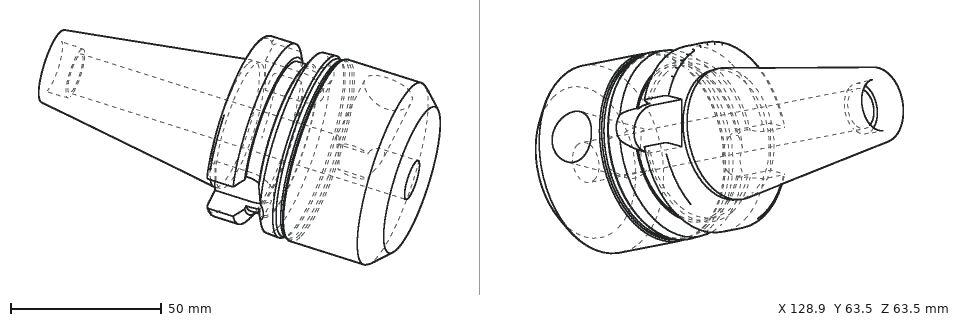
import cadquery as cq

LENGTH = 128.9

TAPER_END_X = 65.4
GAUGE_RADIUS = 22.2
TAPER_SLOPE = 7 / 48
SHANK_END_RADIUS = GAUGE_RADIUS - TAPER_END_X * TAPER_SLOPE
SHANK_ROUND = 0.8
RELIEF_RADIUS = 44.0 / 2
RELIEF_STEP = 0.8

FLANGE_X = 67.3
FLANGE_END_X = 77.0
FLANGE_RADIUS = 63.0 / 2
FLANGE_ROUND = 1.0
GROOVE_RADIUS = 52.2 / 2
GROOVE_START_X = 79.4
GROOVE_END_X = 84.3
GROOVE_FRONT_LIP_RADIUS = 27.5
GROOVE_REAR_LIP_RADIUS = 26.8

COLLAR_X = 87.0
COLLAR_RADIUS = FLANGE_RADIUS
BODY_RADIUS = 63.5 / 2
COLLAR_END_X = 91.6
RING_START_X = 92.5
RING_END_X = 94.2
RING_RADIUS = 62.0 / 2
BODY_X = 95.5
BODY_EDGE = 0.5
NOSE_ROUND_X = 122.0
NOSE_X = 122.7
NOSE_SHOULDER_RADIUS = 31.3
NOSE_RADIUS = 26.0
NOSE_EDGE = 0.5

BORE_RADIUS = 13.5 / 2
PILOT_RADIUS = 8.6
THREAD_RADIUS = 8.5
MOUTH_ROUND = 0.8
PILOT_DEPTH = 6.5
PILOT_STEP = 0.6
THREAD_DEPTH = 8.2

SLOT_WIDTH = 16.1
SLOT_END_X = 88.3
SLOT_FLOOR_Y = 22.5

SCREW_DIAMETER = 17.3
SCREW_X = 107.6


def revolve_about_x(points):
    """Revolve a closed (x, radius) outline about the X axis."""
    return cq.Workplane("XY").polyline(points).close().revolve(360, (0, 0, 0), (1, 0, 0))


def holder_body():
    return revolve_about_x([
        (0, 0),
        (0, SHANK_END_RADIUS),
        (TAPER_END_X, GAUGE_RADIUS),
        (TAPER_END_X + RELIEF_STEP, RELIEF_RADIUS),
        (FLANGE_X, RELIEF_RADIUS),
        (FLANGE_X, FLANGE_RADIUS),
        (FLANGE_END_X, FLANGE_RADIUS),
        (GROOVE_START_X, GROOVE_FRONT_LIP_RADIUS),
        (GROOVE_START_X, GROOVE_RADIUS),
        (GROOVE_END_X, GROOVE_RADIUS),
        (GROOVE_END_X, GROOVE_REAR_LIP_RADIUS),
        (COLLAR_X, COLLAR_RADIUS),
        (COLLAR_END_X, BODY_RADIUS),
        (RING_START_X, RING_RADIUS),
        (RING_END_X, RING_RADIUS),
        (BODY_X - BODY_EDGE, BODY_RADIUS - BODY_EDGE),
        (BODY_X, BODY_RADIUS),
        (NOSE_ROUND_X, BODY_RADIUS),
        (NOSE_X, NOSE_SHOULDER_RADIUS),
        (LENGTH - NOSE_EDGE, NOSE_RADIUS),
        (LENGTH, NOSE_RADIUS - NOSE_EDGE),
        (LENGTH, 0),
    ])


def axial_bore():
    return revolve_about_x([
        (0, 0),
        (0, PILOT_RADIUS),
        (PILOT_DEPTH, PILOT_RADIUS),
        (PILOT_DEPTH + PILOT_STEP, THREAD_RADIUS),
        (THREAD_DEPTH, THREAD_RADIUS),
        (THREAD_DEPTH, BORE_RADIUS),
        (LENGTH, BORE_RADIUS),
        (LENGTH, 0),
    ])


def round_edge(part, x, edge_radius, rounding):
    """Fillet the circular edge of the given radius in the plane at x."""
    tolerance = 0.01
    edge_box = cq.selectors.BoxSelector(
        (x - tolerance, -edge_radius - tolerance, -edge_radius - tolerance),
        (x + tolerance, edge_radius + tolerance, edge_radius + tolerance),
        boundingbox=True,
    )
    rim = part.edges(edge_box).edges(cq.selectors.RadiusNthSelector(-1))
    return rim.fillet(rounding)


def drive_slot(side):
    """Round-ended slot on the +Y (side=1) or -Y (side=-1) face of the flange."""
    half_width = SLOT_WIDTH / 2
    arc_x = SLOT_END_X - half_width
    return (
        cq.Workplane("XZ", origin=(0, side * SLOT_FLOOR_Y, 0))
        .moveTo(FLANGE_X, -half_width)
        .lineTo(arc_x, -half_width)
        .threePointArc((SLOT_END_X, 0), (arc_x, half_width))
        .lineTo(FLANGE_X, half_width)
        .close()
        .extrude(-side * BODY_RADIUS)
    )


def screw_hole():
    """Radial hole from the +Y side down to the axial bore."""
    return (
        cq.Workplane("XZ", origin=(SCREW_X, 0, 0))
        .circle(SCREW_DIAMETER / 2)
        .extrude(-BODY_RADIUS)
    )


result = holder_body().cut(axial_bore())
result = round_edge(result, 0, SHANK_END_RADIUS, SHANK_ROUND)
result = round_edge(result, 0, PILOT_RADIUS, MOUTH_ROUND)
result = round_edge(result, FLANGE_X, FLANGE_RADIUS, FLANGE_ROUND)
result = result.cut(screw_hole())
for side in (1, -1):
    result = result.cut(drive_slot(side))